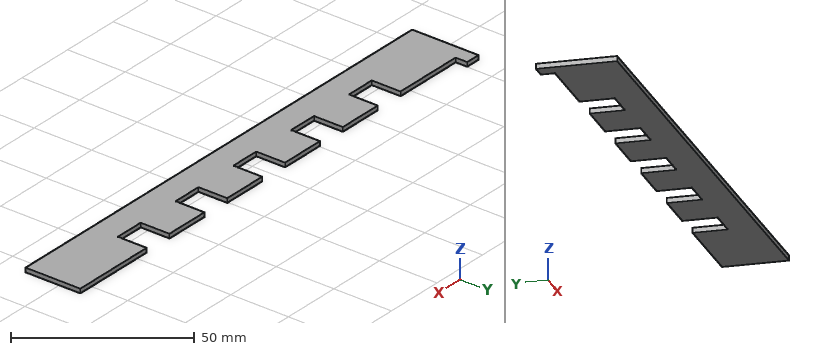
import cadquery as cq

length = 170.0
thickness = 1.5
body_width = 19.05

tab_width = 5.0
tab_height = 4.0

notch_count = 5
notch_pitch = 25.4
notch_width = 10.0
notch_depth = 10.0
first_notch_center = 34.2


def block(x_start, y_start, x_size, y_size):
    """Full-thickness rectangular block placed by its lower-left corner."""
    return (
        cq.Workplane("XY")
        .box(x_size, y_size, thickness, centered=False)
        .translate((x_start, y_start, 0))
    )


def strip_with_tab():
    """Plain strip, with the tab rising from its left end."""
    strip = block(0, 0, length, body_width)
    tab = block(0, 0, tab_width, body_width + tab_height)
    return strip.union(tab)


def cut_notches(part):
    """Cut the row of notches into the +Y edge of the strip."""
    for index in range(notch_count):
        x_start = first_notch_center + index * notch_pitch - notch_width / 2
        y_start = body_width - notch_depth
        part = part.cut(block(x_start, y_start, notch_width, notch_depth))
    return part


result = cut_notches(strip_with_tab())